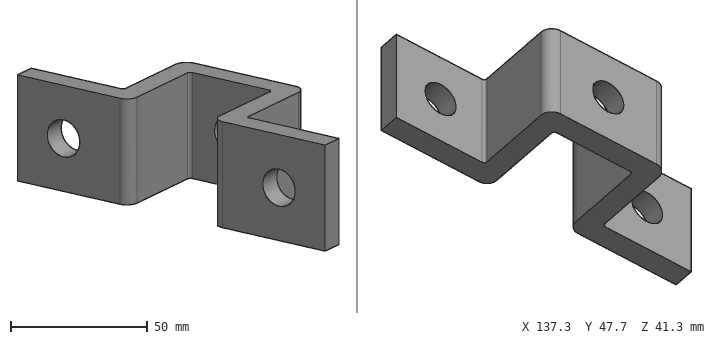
import cadquery as cq

length = 137.3
depth = 47.7
height = 41.3
thickness = 9.0

channel_outer_width = 54.9
channel_inner_width = channel_outer_width - 2 * thickness

crown_outer_radius = 5.1
foot_outer_radius = 4.5
inner_radius = 1.2

hole_diameter = 14.4
hole_spacing = 48.0


def make_profile_body():
    """Hat-shaped strip with sharp bends, extruded along Z."""
    half_length = length / 2
    half_outer = channel_outer_width / 2
    half_inner = channel_inner_width / 2
    crown_inside = depth - thickness
    outline = [
        (-half_length, 0),
        (-half_inner, 0),
        (-half_inner, crown_inside),
        (half_inner, crown_inside),
        (half_inner, 0),
        (half_length, 0),
        (half_length, thickness),
        (half_outer, thickness),
        (half_outer, depth),
        (-half_outer, depth),
        (-half_outer, thickness),
        (-half_length, thickness),
    ]
    return cq.Workplane("XY").polyline(outline).close().extrude(height)


def round_bend(body, width, y, radius):
    """Round the pair of vertical edges at x = +/- width / 2 and the given y."""
    for side in (-1, 1):
        edge_middle = (side * width / 2, y, height / 2)
        body = body.edges(cq.NearestToPointSelector(edge_middle)).fillet(radius)
    return body


def make_holes():
    """One hole in each foot and one in the crown, in a row at mid-height."""
    centres = [(-hole_spacing, 0), (0, 0), (hole_spacing, 0)]
    return (
        cq.Workplane("XZ", origin=(0, 0, height / 2))
        .pushPoints(centres)
        .circle(hole_diameter / 2)
        .extrude(-depth)
    )


bracket = make_profile_body()
bracket = round_bend(bracket, channel_outer_width, depth, crown_outer_radius)
bracket = round_bend(bracket, channel_inner_width, 0, foot_outer_radius)
bracket = round_bend(bracket, channel_inner_width, depth - thickness, inner_radius)
bracket = round_bend(bracket, channel_outer_width, thickness, inner_radius)
result = bracket.cut(make_holes())